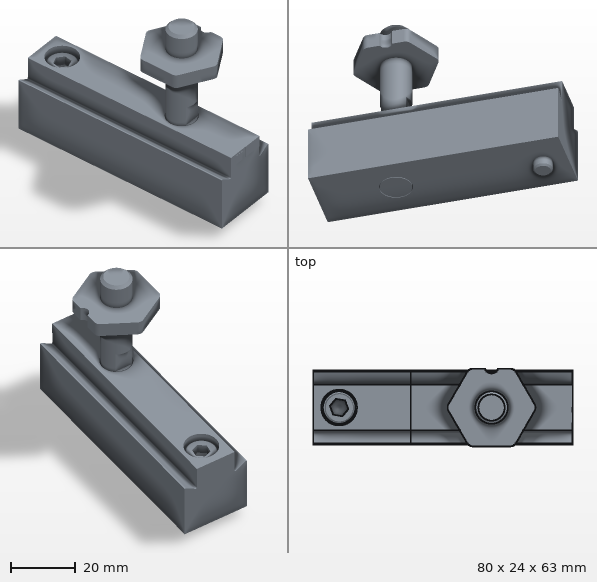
import cadquery as cq
import math


land_height = 0.1
block_length = 80 - land_height
split_x = 30.0
block_width = 23.0
block_height = 25.0
neck_width = 14.0
shoulder_z = block_height - 6.0
tip_width = 0.5
groove_angle = 30
groove_radius = 0.3

main_land_width = neck_width / 2
land_bottom_z = block_height - 4
side_land_near_y = -1.4
side_land_far_y = -4.8
side_land_drop = 0.8

screw_x = 8
screw_diameter = 6.0
screw_tip_diameter = 4.9
screw_tip_length = (screw_diameter - screw_tip_diameter) / 2
screw_projection = 3.0
screw_hole_diameter = 6.5
head_diameter = 10.0
head_height = 6.0
head_rounding = 0.6
head_top_z = block_height - 2.0
head_seat_z = head_top_z - head_height
counterbore_diameter = 11.0
socket_across_flats = 5.0
socket_depth = 3.0
socket_turn = -10
cone_angle = 30

stud_x = (split_x + block_length) / 2
stud_diameter = 10.0
stud_chamfer = 1.0
stud_top_z = block_height + 35.0
stud_hole_diameter = 10.5
flats_distance = 8
flats_height = 7.0

plate_across_flats = 24
plate_thickness = 5.0
plate_top_z = block_height + 26.5
plate_corner_radius = 2.0
notch_radius = 2.0
notch_depth = 1.5


def hexagon_circle(across_flats):
    """Diameter of the circle through the corners of a hexagon."""
    return across_flats / math.cos(math.radians(30))


def cylinder(x, bottom_z, top_z, diameter):
    """Upright cylinder on the plane of symmetry."""
    return cq.Workplane("XY", origin=(x, 0, bottom_z)).circle(diameter / 2).extrude(top_z - bottom_z)


def make_profile_bar(start_x, end_x):
    """Length of the grooved block section."""
    base_y = block_width / 2
    neck_y = neck_width / 2
    tip_y = base_y - tip_width
    groove_z = shoulder_z - (tip_y - neck_y) * math.tan(math.radians(groove_angle))
    right_half = [
        (base_y, 0),
        (base_y, shoulder_z),
        (tip_y, shoulder_z),
        (neck_y, groove_z),
        (neck_y, block_height),
    ]
    left_half = [(-y, z) for y, z in reversed(right_half)]
    bar = (
        cq.Workplane("YZ", origin=(start_x, 0, 0))
        .polyline(right_half + left_half)
        .close()
        .extrude(end_x - start_x)
    )
    middle_x = (start_x + end_x) / 2
    for groove_y in (neck_y, -neck_y):
        groove_corner = cq.selectors.NearestToPointSelector((middle_x, groove_y, groove_z))
        bar = bar.edges(groove_corner).fillet(groove_radius)
    return bar


def make_left_block():
    """Shorter block with the counterbored screw hole."""
    block = make_profile_bar(0, split_x)
    block = block.cut(cylinder(screw_x, 0, block_height, screw_hole_diameter))
    return block.cut(cylinder(screw_x, head_seat_z, block_height, counterbore_diameter))


def make_land(near_y, far_y, top_z):
    """Thin raised rectangle on the right end face."""
    return cq.Workplane("XY").box(
        land_height, abs(far_y - near_y), top_z - land_bottom_z, centered=False
    ).translate((block_length, min(near_y, far_y), land_bottom_z))


def make_right_block():
    """Longer block with the stud hole and the lands on its end face."""
    block = make_profile_bar(split_x, block_length)
    block = block.cut(cylinder(stud_x, 0, block_height, stud_hole_diameter))
    block = block.union(make_land(0, main_land_width, block_height))
    return block.union(make_land(side_land_near_y, side_land_far_y, block_height - side_land_drop))


def make_screw():
    """Socket head screw that projects from the underside."""
    shank = cylinder(screw_x, -screw_projection, head_seat_z, screw_diameter)
    shank = shank.faces("<Z").chamfer(screw_tip_length)
    head = cylinder(screw_x, head_seat_z, head_top_z, head_diameter)
    head = head.faces(">Z").edges().fillet(head_rounding)

    socket_circle = hexagon_circle(socket_across_flats)
    flats_end_z = head_top_z - socket_depth
    cone_depth = socket_circle / 2 * math.tan(math.radians(cone_angle))
    cone = cq.Workplane(
        cq.Solid.makeCone(
            socket_circle / 2, 0, cone_depth, pnt=cq.Vector(screw_x, 0, flats_end_z), dir=cq.Vector(0, 0, -1)
        )
    )
    bore = cylinder(screw_x, flats_end_z, head_top_z, socket_circle).union(cone)
    hexagon = (
        cq.Workplane("XY", origin=(screw_x, 0, flats_end_z - cone_depth))
        .transformed(rotate=(0, 0, socket_turn))
        .polygon(6, socket_circle)
        .extrude(socket_depth + cone_depth)
    )
    return shank.union(head).cut(bore.intersect(hexagon))


def make_stud():
    """Round stud with a chamfered top and two flats just above the block."""
    stud = cylinder(stud_x, 0, stud_top_z, stud_diameter)
    stud = stud.faces(">Z").chamfer(stud_chamfer)
    flats_zone = cylinder(stud_x, block_height, block_height + flats_height, stud_hole_diameter)
    kept_core = cq.Workplane("XY", origin=(stud_x, 0, 0)).box(
        flats_distance, stud_hole_diameter, stud_top_z, centered=(True, True, False)
    )
    return stud.cut(flats_zone.cut(kept_core))


def make_plate():
    """Hexagonal plate around the stud, with a round notch in one side."""
    bottom_z = plate_top_z - plate_thickness
    plate = (
        cq.Workplane("XY", origin=(stud_x, 0, bottom_z))
        .polygon(6, hexagon_circle(plate_across_flats))
        .extrude(plate_thickness)
        .edges("|Z")
        .fillet(plate_corner_radius)
    )
    notch_y = plate_across_flats / 2 - notch_depth + notch_radius
    notch = cylinder(stud_x, bottom_z, plate_top_z, 2 * notch_radius)
    plate = plate.cut(notch.translate((0, notch_y, 0)))
    return plate.cut(cylinder(stud_x, bottom_z, plate_top_z, stud_diameter))


left_block = make_left_block()
right_block = make_right_block()
screw = make_screw()
stud = make_stud()
plate = make_plate()

result = cq.Compound.makeCompound(
    [left_block.val(), right_block.val(), screw.val(), stud.val(), plate.val()]
)